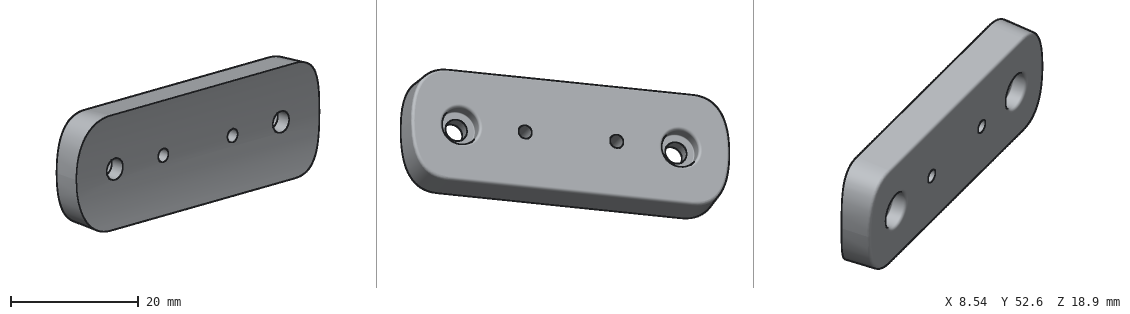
import cadquery as cq
import math

TILT = 3.0
DRAFT = 3.0

RIM_THICKNESS = 6.12
HALF_LENGTH = 26.09
HALF_WIDTH = 9.11
STRAIGHT_HALF = 20.0
END_FULLNESS = 0.66
BACK_SAG = 1.1
EDGE_FILLET = 0.5

SCREW_SPACING = 36.0
SCREW_DIAMETER = 3.5
COUNTERBORE_DIAMETER = 6.0
COUNTERBORE_DEPTH = 2.5
MOUTH_FILLET = 0.5
FLOOR_FILLET = 0.15

PIN_SPACING = 15.0
PIN_DIAMETER = 2.2

STOCK_ALLOWANCE = 1.0
STOCK_THICKNESS = RIM_THICKNESS + STOCK_ALLOWANCE


def draft_growth(height):
    """How far the side walls have spread at a given height."""
    return height * math.tan(math.radians(DRAFT))


def outline(height):
    """Closed outline at a given height: straight sides and full, rounded ends."""
    growth = draft_growth(height)
    half_width = HALF_WIDTH + growth
    end_reach = HALF_LENGTH + growth - STRAIGHT_HALF

    def point(end, reach, side, width):
        """Point at fractions of the end reach and half width."""
        return cq.Vector(
            end * (STRAIGHT_HALF + reach * end_reach),
            side * width * half_width,
            height,
        )

    def end_quarter(end, side):
        """Curve from the end of a long side to the tip at mid width."""
        return [
            point(end, 0, side, 1),
            point(end, END_FULLNESS, side, 1),
            point(end, 1, side, END_FULLNESS),
            point(end, 1, side, 0),
        ]

    edges = []
    for end in (1, -1):
        edges.append(cq.Edge.makeLine(point(-end, 0, end, 1), point(end, 0, end, 1)))
        edges.append(cq.Edge.makeBezier(end_quarter(end, end)))
        edges.append(cq.Edge.makeBezier(end_quarter(end, -end)[::-1]))
    return cq.Wire.assembleEdges(edges)


def drafted_body():
    """Solid with drafted side walls and a rounded edge around the front face."""
    solid = cq.Solid.makeLoft([outline(0), outline(STOCK_THICKNESS)], ruled=True)
    return cq.Workplane(obj=solid).faces("<Z").edges().fillet(EDGE_FILLET)


def back_hollow():
    """Cylinder along the length that leaves the long edges at rim thickness."""
    half_chord = HALF_WIDTH + draft_growth(RIM_THICKNESS)
    radius = (half_chord**2 + BACK_SAG**2) / (2 * BACK_SAG)
    axis_height = RIM_THICKNESS - BACK_SAG + radius
    return (
        cq.Workplane("YZ")
        .center(0, axis_height)
        .circle(radius)
        .extrude(2 * HALF_LENGTH, both=True)
    )


def drill(spacing, diameter, depth):
    """Pair of round cutters rising from the front face."""
    centers = [(-spacing / 2, 0), (spacing / 2, 0)]
    circles = cq.Workplane("XY").pushPoints(centers).circle(diameter / 2)
    return circles.extrude(depth)


def add_screw_holes(body):
    """Through holes with counterbores rounded at the mouth and at the floor."""
    pockets = drill(SCREW_SPACING, COUNTERBORE_DIAMETER, COUNTERBORE_DEPTH)
    pockets = pockets.faces(">Z").edges().fillet(FLOOR_FILLET)
    bored = body.cut(pockets)
    mouths = bored.faces("<Z").edges("%CIRCLE")
    rounded = mouths.fillet(MOUTH_FILLET)
    return rounded.cut(drill(SCREW_SPACING, SCREW_DIAMETER, STOCK_THICKNESS))


def add_pin_holes(body):
    return body.cut(drill(PIN_SPACING, PIN_DIAMETER, STOCK_THICKNESS))


plate = drafted_body().cut(back_hollow())
plate = add_screw_holes(plate)
plate = add_pin_holes(plate)

upright = plate.rotate((0, 0, 0), (1, 1, 1), 120)
result = upright.rotate((0, 0, 0), (0, 0, 1), TILT)